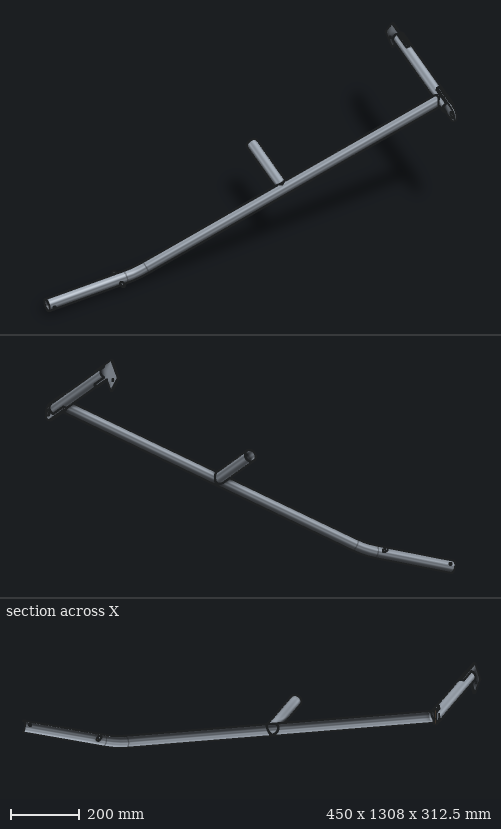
import cadquery as cq
import math


tube_dia = 38.0
bore_dia = 34.0
tube_radius = tube_dia / 2

overall_length = 1308.0
slope_deg = 15.0
main_drop = 268.0
bend_radius = 262.0
slope = math.radians(slope_deg)
front_end_y = tube_radius - overall_length
bend_corner_y = -main_drop / math.tan(slope)
bend_tangent = bend_radius * math.tan(slope / 2)
bend_start_y = bend_corner_y + bend_tangent * math.cos(slope)
bend_end_y = bend_corner_y - bend_tangent
bend_centre_z = bend_radius - main_drop

pin_dia = 9.5
pin_length = 63.0
pin_setback = 20.0
pin_y = bend_end_y - pin_setback
end_hole_dia = 6.7
end_hole_inset = 16.0

cross_left_x = -280.0
cross_right_x = 39.0
slot_width = 10.0
slot_length = 63.0

handle_end_x = -205.0
handle_y = -515.0
handle_z = handle_y * math.tan(slope)

plate_height = 51.0
half_height = plate_height / 2
left_plate_thickness = 5.0
left_plate_end_x = -360.0
leg_angle_deg = 60.0
leg_length = 84.0
leg_hole_dia = 6.7
leg_hole_inset = 21.0
right_plate_thickness = 8.0
right_plate_end_x = 90.0
eye_hole_dia = 20.0
eye_hole_x = 73.0


def x_cylinder(diameter, start_x, end_x, y=0.0, z=0.0):
    """Solid cylinder along X."""
    return (
        cq.Workplane("YZ", origin=(start_x, y, z))
        .circle(diameter / 2)
        .extrude(end_x - start_x)
    )


def main_rod(diameter):
    """Solid round bar that follows the axis of the main tube."""
    bend_middle = (
        bend_end_y + bend_radius * math.sin(slope / 2),
        bend_centre_z - bend_radius * math.cos(slope / 2),
    )
    path = (
        cq.Workplane("YZ")
        .moveTo(0, 0)
        .lineTo(bend_start_y, bend_start_y * math.tan(slope))
        .threePointArc(bend_middle, (bend_end_y, -main_drop))
        .lineTo(front_end_y, -main_drop)
    )
    start_direction = (0, -math.cos(slope), -math.sin(slope))
    start_plane = cq.Plane(origin=(0, 0, 0), xDir=(1, 0, 0), normal=start_direction)
    return cq.Workplane(start_plane).circle(diameter / 2).sweep(path)


def plate_slot(start_x, end_x):
    """Upright slot volume, as tall as the plates."""
    return cq.Workplane("XY").box(end_x - start_x, slot_width, plate_height).translate(
        ((start_x + end_x) / 2, 0, 0)
    )


def centred_plate(outline, thickness):
    """Extrude an XZ outline to a plate centred on y = 0."""
    return outline.extrude(thickness / 2, both=True)


def hole_cutter(diameter, x, z):
    """Bar along Y that drills through a plate at (x, z)."""
    drill_depth = slot_width
    return cq.Workplane("XZ", origin=(x, 0, z)).circle(diameter / 2).extrude(drill_depth, both=True)


left_slot_end_x = cross_left_x + slot_length
right_slot_end_x = cross_right_x - slot_length
left_slot = plate_slot(cross_left_x, left_slot_end_x)
right_slot = plate_slot(right_slot_end_x, cross_right_x)


def make_cross_tube():
    tube = x_cylinder(tube_dia, cross_left_x, cross_right_x)
    tube = tube.cut(x_cylinder(bore_dia, cross_left_x, cross_right_x))
    return tube.cut(left_slot).cut(right_slot)


def make_main_tube():
    tube = main_rod(tube_dia).cut(main_rod(bore_dia))
    tube = tube.cut(x_cylinder(tube_dia, cross_left_x, cross_right_x)).cut(right_slot)
    tube = tube.cut(x_cylinder(pin_dia, -tube_dia, tube_dia, pin_y, -main_drop))
    end_hole_y = front_end_y + end_hole_inset
    return tube.cut(x_cylinder(end_hole_dia, -tube_dia, tube_dia, end_hole_y, -main_drop))


def make_handle():
    tube = x_cylinder(tube_dia, handle_end_x, 0, handle_y, handle_z)
    tube = tube.cut(x_cylinder(bore_dia, handle_end_x, 0, handle_y, handle_z))
    return tube.cut(main_rod(tube_dia))


def make_pin():
    return x_cylinder(pin_dia, -pin_length / 2, pin_length / 2, pin_y, -main_drop)


def make_left_plate():
    leg_angle = math.radians(leg_angle_deg)
    along_x, along_z = -math.cos(leg_angle), -math.sin(leg_angle)
    across_x, across_z = -along_z, along_x
    outer_corner_x = left_plate_end_x - leg_length * along_x
    inner_corner_x = outer_corner_x + plate_height * math.tan(leg_angle / 2)
    tip_z = half_height + leg_length * along_z
    tip = (left_plate_end_x, tip_z)
    inner_tip = (tip[0] + plate_height * across_x, tip[1] + plate_height * across_z)
    outline = cq.Workplane("XZ").polyline(
        [
            (left_slot_end_x, half_height),
            (outer_corner_x, half_height),
            tip,
            inner_tip,
            (inner_corner_x, -half_height),
            (left_slot_end_x, -half_height),
        ]
    ).close()
    hole_x = tip[0] + half_height * across_x - leg_hole_inset * along_x
    hole_z = tip[1] + half_height * across_z - leg_hole_inset * along_z
    return centred_plate(outline, left_plate_thickness).cut(hole_cutter(leg_hole_dia, hole_x, hole_z))


def make_right_plate():
    round_centre_x = right_plate_end_x - half_height
    outline = (
        cq.Workplane("XZ")
        .moveTo(right_slot_end_x, half_height)
        .lineTo(round_centre_x, half_height)
        .threePointArc((right_plate_end_x, 0), (round_centre_x, -half_height))
        .lineTo(right_slot_end_x, -half_height)
        .close()
    )
    return centred_plate(outline, right_plate_thickness).cut(hole_cutter(eye_hole_dia, eye_hole_x, 0))


cross_tube = make_cross_tube()
main_tube = make_main_tube()
handle = make_handle()
cross_pin = make_pin()
left_plate = make_left_plate()
right_plate = make_right_plate()

result = cq.Compound.makeCompound(
    [
        cross_tube.val(),
        main_tube.val(),
        handle.val(),
        cross_pin.val(),
        left_plate.val(),
        right_plate.val(),
    ]
)